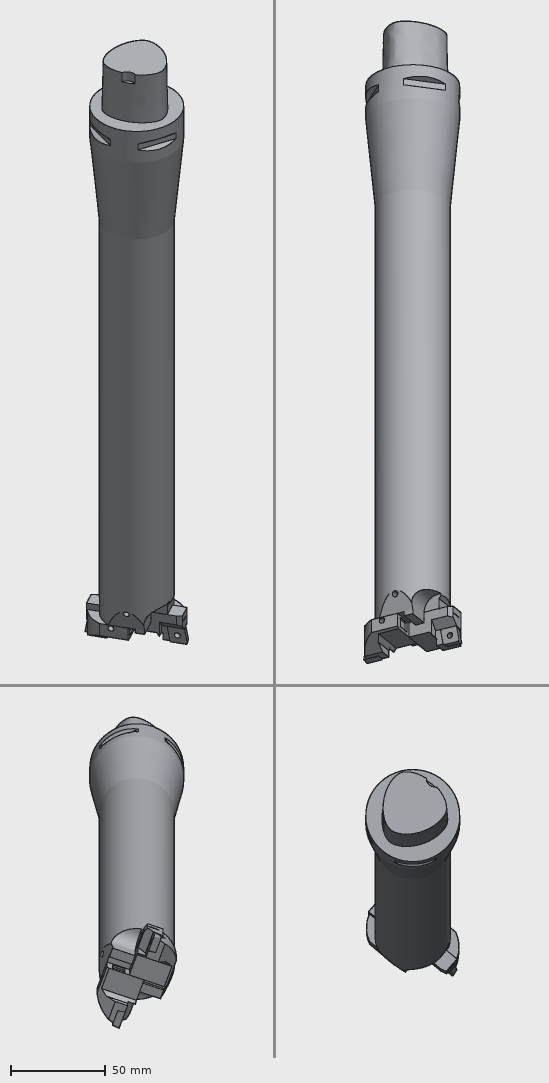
import cadquery as cq
import math

HALF_TURNS = (0, 180)
CUT_REACH = 45.0

COUPLING_LENGTH = 30.0
COUPLING_BASE_RADIUS = 17.5
COUPLING_TOP_RADIUS = 16.9
COUPLING_LOBE = 1.3
OUTLINE_POINTS = 36
KEYWAY_RADIUS = 4.6
KEYWAY_LENGTH = 5.8
KEYWAY_FLOOR = 13.7

COLLAR_RADIUS = 25.0
COLLAR_LENGTH = 20.0
BAR_RADIUS = 20.0
CONE_END_Z = -72.0
SLOT_COUNT = 4
SLOT_CENTRE_Z = -9.9
SLOT_MOUTH_HEIGHT = 6.6
SLOT_FLOOR_HEIGHT = 3.6
SLOT_FLOOR = 22.2

BAR_END_Z = -321.0
RELIEF_TOP_Z = -308.7
HALF_WIDTH = 16.8
SEAT_FLAT_X = 18.2
SEAT_FLAT_TOP_Z = -309.0
SEAT_BEVEL = 2.0
POCKET_X = 9.2
POCKET_TOP_Z = -308.4
POCKET_RADIUS = 8.5
FACE_Y = -4.2
LIP_START_X = 4.0
LIP_HEIGHT = 2.4
COOLANT_DIAMETER = 3.2
COOLANT_DEPTH = 6.0
BAR_COOLANT_Z = -310.6

TIP_X = 27.99
TIP_Z = -336.84
INSERT_EDGE = 9.67
INSERT_THICKNESS = 3.97
INSERT_LEAN = 10.0
INSERT_CLEARANCE = 7.0
NOSE_RADIUS = 0.8
INSERT_HOLE_DIAMETER = 3.2

CARTRIDGE_TOP_Z = -317.0
WEB_BOTTOM_Z = -329.6
NOSE_BOTTOM_Z = -336.2
NOSE_INNER_X = 14.4
WEB_CORNER_X = 12.2
WEB_CORNER_HEIGHT = 2.8
CHIP_SPACE_X = 13.8
BACK_CENTRE_X = 8.0
BACK_RADIUS = 18.5
CORNER_START_X = 23.2
CORNER_DEPTH = 1.0
BLOCK_BACK_Y = 5.5
BEVEL_TOP_Z = -328.6
NOSE_HALF_WIDTH = 7.0
RAKE_RAMP_TOP_Z = -322.6
SUPPORT_INSET = 1.3
RECESS_WIDTH = 6.8
RECESS_HEIGHT = 5.4
RECESS_DEPTH = 1.0
RECESS_CENTRE = (10.0, -324.8)
CARTRIDGE_COOLANT_X = 9.4
CARTRIDGE_COOLANT_Z = -323.0


def turned(shape, angle):
    return shape.rotate((0, 0, 0), (0, 0, 1), angle)


def box(x0, x1, y0, y1, z0, z1):
    return cq.Workplane("XY").box(x1 - x0, y1 - y0, z1 - z0, centered=False).translate((x0, y0, z0))


def front_prism(points):
    """Closed X-Z outline, extruded across the whole tool in Y."""
    return cq.Workplane("XZ").polyline(points).close().extrude(COLLAR_RADIUS, both=True)


def side_prism(points, x0, x1):
    """Closed Y-Z outline, extruded from x0 to x1."""
    return cq.Workplane("YZ", origin=(x0, 0, 0)).polyline(points).close().extrude(x1 - x0)


def coolant_hole(x, z, y_outer):
    """Blind hole bored along Y from the outer side given by the sign of y_outer."""
    inward = -math.copysign(1, y_outer)
    start = cq.Vector(x, y_outer, z)
    return cq.Workplane(
        cq.Solid.makeCylinder(COOLANT_DIAMETER / 2, COOLANT_DEPTH, start, cq.Vector(0, inward, 0))
    )


LEAN = math.radians(INSERT_LEAN)
CORNER_X = TIP_X - NOSE_RADIUS + NOSE_RADIUS * (1 + math.sin(LEAN)) / math.cos(LEAN)
INSERT_RISE = INSERT_EDGE * math.cos(LEAN)
INSERT_SHIFT = INSERT_EDGE * math.sin(LEAN)
INSERT_TOP_Z = TIP_Z + INSERT_RISE


def insert_blank():
    outline = [
        (CORNER_X, TIP_Z),
        (CORNER_X - INSERT_SHIFT, INSERT_TOP_Z),
        (CORNER_X - INSERT_SHIFT - INSERT_EDGE, INSERT_TOP_Z),
        (CORNER_X - INSERT_EDGE, TIP_Z),
    ]
    sketch = cq.Sketch().polygon(outline + outline[:1]).vertices().fillet(NOSE_RADIUS)
    return (
        cq.Workplane("XZ").placeSketch(sketch)
        .extrude(-INSERT_THICKNESS, taper=INSERT_CLEARANCE)
    )


def make_insert():
    centre_x = CORNER_X - (INSERT_EDGE + INSERT_SHIFT) / 2
    centre_z = TIP_Z + INSERT_RISE / 2
    hole = (
        cq.Workplane("XZ").center(centre_x, centre_z)
        .circle(INSERT_HOLE_DIAMETER / 2).extrude(-INSERT_THICKNESS)
    )
    return insert_blank().cut(hole)


def lobed_outline(radius):
    """Points on a three-lobed curve of constant width with one lobe pointing along +Y."""
    points = []
    for number in range(OUTLINE_POINTS):
        angle = 2 * math.pi * number / OUTLINE_POINTS
        reach = radius - COUPLING_LOBE * math.sin(3 * angle)
        slope = -3 * COUPLING_LOBE * math.cos(3 * angle)
        points.append((
            reach * math.cos(angle) - slope * math.sin(angle),
            reach * math.sin(angle) + slope * math.cos(angle),
        ))
    return points


def coupling():
    taper = (
        cq.Workplane("XY").spline(lobed_outline(COUPLING_BASE_RADIUS), periodic=True).close()
        .workplane(offset=COUPLING_LENGTH)
        .spline(lobed_outline(COUPLING_TOP_RADIUS), periodic=True).close()
        .loft(ruled=True)
    )
    keyway = (
        cq.Workplane("XY", origin=(0, -KEYWAY_FLOOR - KEYWAY_RADIUS, COUPLING_LENGTH - KEYWAY_LENGTH))
        .circle(KEYWAY_RADIUS).extrude(KEYWAY_LENGTH)
    )
    return taper.cut(keyway)


def turned_bar():
    half_section = [
        (0, 0),
        (COLLAR_RADIUS, 0),
        (COLLAR_RADIUS, -COLLAR_LENGTH),
        (BAR_RADIUS, CONE_END_Z),
        (BAR_RADIUS, BAR_END_Z),
        (0, BAR_END_Z),
    ]
    return cq.Workplane("XZ").polyline(half_section).close().revolve(360, (0, 0, 0), (0, 1, 0))


def collar_slots():
    """Straight slots with sloping walls, spaced evenly round the collar."""
    slot = front_prism(
        [(SLOT_FLOOR, SLOT_CENTRE_Z - SLOT_FLOOR_HEIGHT / 2),
         (COLLAR_RADIUS, SLOT_CENTRE_Z - SLOT_MOUTH_HEIGHT / 2),
         (COLLAR_RADIUS, SLOT_CENTRE_Z + SLOT_MOUTH_HEIGHT / 2),
         (SLOT_FLOOR, SLOT_CENTRE_Z + SLOT_FLOOR_HEIGHT / 2)]
    )
    step = 360 / SLOT_COUNT
    slots = turned(slot, step / 2)
    for number in range(1, SLOT_COUNT):
        slots = slots.union(turned(slot, step * (number + 0.5)))
    return slots


def sloping_flat():
    """Wedge that leaves a flat on the -Y side, leaning inwards towards the cutting end."""
    return side_prism(
        [(-BAR_RADIUS, RELIEF_TOP_Z), (-HALF_WIDTH, BAR_END_Z), (-COLLAR_RADIUS, BAR_END_Z),
         (-COLLAR_RADIUS, RELIEF_TOP_Z)],
        -COLLAR_RADIUS, COLLAR_RADIUS,
    )


def seat_flat():
    return front_prism(
        [(SEAT_FLAT_X, BAR_END_Z), (SEAT_FLAT_X, SEAT_FLAT_TOP_Z - SEAT_BEVEL),
         (BAR_RADIUS, SEAT_FLAT_TOP_Z), (COLLAR_RADIUS, SEAT_FLAT_TOP_Z), (COLLAR_RADIUS, BAR_END_Z)]
    )


def corner_pocket():
    pocket = box(POCKET_X, COLLAR_RADIUS, -COLLAR_RADIUS, FACE_Y, BAR_END_Z, POCKET_TOP_Z)
    return pocket.edges("|Y and <X and >Z").fillet(POCKET_RADIUS)


def end_lip():
    return box(LIP_START_X, POCKET_X, -HALF_WIDTH, FACE_Y, BAR_END_Z - LIP_HEIGHT, BAR_END_Z)


def make_bar():
    bar = turned_bar().union(coupling()).cut(collar_slots())
    for angle in HALF_TURNS:
        cuts = (
            sloping_flat(),
            seat_flat(),
            corner_pocket(),
            locating_block(),
            coolant_hole(0, BAR_COOLANT_Z, -BAR_RADIUS),
        )
        for cut in cuts:
            bar = bar.cut(turned(cut, angle))
        bar = bar.union(turned(end_lip(), angle))
    return bar


CORNER_OUTER_Y = FACE_Y + CORNER_DEPTH
CORNER_OUTER_X = BACK_CENTRE_X + math.sqrt(BACK_RADIUS**2 - CORNER_OUTER_Y**2)


def cartridge_plate():
    """Everything below the bar end: web, round back and nose."""
    back_end_x = BACK_CENTRE_X + math.sqrt(BACK_RADIUS**2 - HALF_WIDTH**2)
    plan = (
        cq.Workplane("XY", origin=(0, 0, NOSE_BOTTOM_Z))
        .moveTo(0, FACE_Y)
        .lineTo(CORNER_START_X, FACE_Y)
        .lineTo(CORNER_OUTER_X, CORNER_OUTER_Y)
        .threePointArc((BACK_CENTRE_X + BACK_RADIUS, 0), (back_end_x, HALF_WIDTH))
        .lineTo(0, HALF_WIDTH)
        .close()
        .extrude(BAR_END_Z - NOSE_BOTTOM_Z)
    )
    support_x = CORNER_X - SUPPORT_INSET
    profile = front_prism(
        [(0, BAR_END_Z), (CUT_REACH, BAR_END_Z),
         (CUT_REACH, INSERT_TOP_Z), (support_x - INSERT_SHIFT, INSERT_TOP_Z),
         (support_x, NOSE_BOTTOM_Z), (NOSE_INNER_X, NOSE_BOTTOM_Z),
         (NOSE_INNER_X, WEB_BOTTOM_Z - WEB_CORNER_HEIGHT), (WEB_CORNER_X, WEB_BOTTOM_Z),
         (0, WEB_BOTTOM_Z)]
    )
    bevels = side_prism(
        [(-HALF_WIDTH, BAR_END_Z), (HALF_WIDTH, BAR_END_Z), (HALF_WIDTH, BEVEL_TOP_Z),
         (NOSE_HALF_WIDTH, NOSE_BOTTOM_Z), (-NOSE_HALF_WIDTH, NOSE_BOTTOM_Z),
         (-HALF_WIDTH, BEVEL_TOP_Z)],
        0, CUT_REACH,
    )
    return plan.intersect(profile).intersect(bevels)


def locating_block():
    """Block above the insert whose upper part fits a matching notch in the end of the bar."""
    return (
        cq.Workplane("XY", origin=(0, 0, INSERT_TOP_Z))
        .polyline([(POCKET_X, FACE_Y), (CORNER_START_X, FACE_Y), (CORNER_OUTER_X, CORNER_OUTER_Y),
                   (CORNER_OUTER_X, BLOCK_BACK_Y), (POCKET_X, BLOCK_BACK_Y)])
        .close().extrude(CARTRIDGE_TOP_Z - INSERT_TOP_Z)
    )


def chip_space():
    """Room in front of the rake face, with a ramp leading down to it."""
    return side_prism(
        [(FACE_Y, RAKE_RAMP_TOP_Z), (0, INSERT_TOP_Z), (0, TIP_Z), (-COLLAR_RADIUS, TIP_Z),
         (-COLLAR_RADIUS, RAKE_RAMP_TOP_Z)],
        CHIP_SPACE_X, CUT_REACH,
    )


def inner_recess():
    y, z = RECESS_CENTRE
    return box(0, RECESS_DEPTH, y - RECESS_WIDTH / 2, y + RECESS_WIDTH / 2,
               z - RECESS_HEIGHT / 2, z + RECESS_HEIGHT / 2)


def make_cartridge():
    cartridge = cartridge_plate().union(locating_block())
    cuts = (
        chip_space(),
        inner_recess(),
        insert_blank(),
        coolant_hole(CARTRIDGE_COOLANT_X, CARTRIDGE_COOLANT_Z, HALF_WIDTH),
    )
    for cut in cuts:
        cartridge = cartridge.cut(cut)
    return cartridge


bar = make_bar()
cartridges = [turned(make_cartridge(), angle) for angle in HALF_TURNS]
inserts = [turned(make_insert(), angle) for angle in HALF_TURNS]
result = cq.Compound.makeCompound([
    *bar.solids().vals(),
    *[cartridge.solids().val() for cartridge in cartridges],
    *[insert.solids().val() for insert in inserts],
])